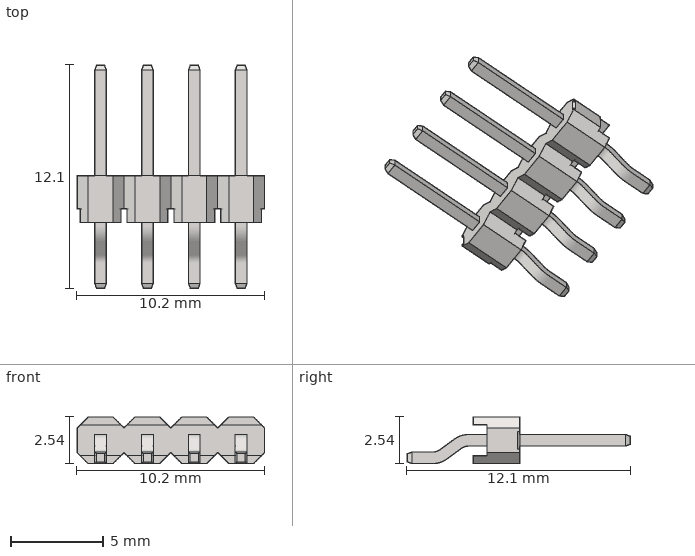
import cadquery as cq
import math


PIN_COUNT = 4
PITCH = 2.54
HOUSING_HEIGHT = PITCH
HOUSING_DEPTH = 2.54
CORE_DEPTH = 1.8
CELL_CHAMFER = 0.6
LIP_THICKNESS = 0.44
END_NOTCH_SIZE = 0.12
END_NOTCH_BACK_HEIGHT = 1.0
END_NOTCH_FRONT_HEIGHT = 0.92

PIN_SIZE = 0.64
BACK_REACH = 5.99
OVERALL_DEPTH = 12.1
TIP_LENGTH = 0.27
TIP_TAPER = 0.1
BEND_START = 2.79
BEND_ANGLE = math.radians(36)
BEND_INNER_RADIUS = PIN_SIZE

ROW_LENGTH = PIN_COUNT * PITCH
HALF_ROW = ROW_LENGTH / 2
HALF_PITCH = PITCH / 2
HALF_HEIGHT = HOUSING_HEIGHT / 2
HALF_PIN = PIN_SIZE / 2
FRONT_REACH = OVERALL_DEPTH - BACK_REACH
CELL_CENTERS = [(i + 0.5) * PITCH - HALF_ROW for i in range(PIN_COUNT)]


def make_cell(center_x):
    """One octagonal housing cell, extruded along -Y from the back face."""
    flat_x = HALF_PITCH - CELL_CHAMFER
    flat_z = HALF_HEIGHT - CELL_CHAMFER
    return (
        cq.Workplane("XZ", origin=(center_x, 0, 0))
        .moveTo(HALF_PITCH, flat_z)
        .lineTo(flat_x, HALF_HEIGHT)
        .lineTo(-flat_x, HALF_HEIGHT)
        .lineTo(-HALF_PITCH, flat_z)
        .lineTo(-HALF_PITCH, -flat_z)
        .lineTo(-flat_x, -HALF_HEIGHT)
        .lineTo(flat_x, -HALF_HEIGHT)
        .lineTo(HALF_PITCH, -flat_z)
        .close()
        .extrude(HOUSING_DEPTH)
    )


def make_front_recess():
    """Slot along the whole row that leaves a lip above and below the tails."""
    slot_depth = HOUSING_DEPTH - CORE_DEPTH
    slot_height = HOUSING_HEIGHT - 2 * LIP_THICKNESS
    slot_center_y = -(HOUSING_DEPTH + CORE_DEPTH) / 2
    return cq.Workplane("XY").box(ROW_LENGTH, slot_depth, slot_height).translate((0, slot_center_y, 0))


def make_end_notch(side):
    """45 degree wedge cut from a back vertical corner, narrowing forward; side is -1 or +1."""
    corner_x = side * HALF_ROW
    wedge = (
        cq.Workplane("XY")
        .moveTo(corner_x, 0)
        .lineTo(corner_x - side * END_NOTCH_SIZE, 0)
        .lineTo(corner_x, -END_NOTCH_SIZE)
        .close()
        .extrude(END_NOTCH_BACK_HEIGHT / 2, both=True)
    )
    sloped_ends = (
        cq.Workplane("YZ", origin=(corner_x, 0, 0))
        .moveTo(0, END_NOTCH_BACK_HEIGHT / 2)
        .lineTo(-END_NOTCH_SIZE, END_NOTCH_FRONT_HEIGHT / 2)
        .lineTo(-END_NOTCH_SIZE, -END_NOTCH_FRONT_HEIGHT / 2)
        .lineTo(0, -END_NOTCH_BACK_HEIGHT / 2)
        .close()
        .extrude(END_NOTCH_SIZE, both=True)
    )
    return wedge.intersect(sloped_ends)


def make_housing():
    housing = make_cell(CELL_CENTERS[0])
    for center_x in CELL_CENTERS[1:]:
        housing = housing.union(make_cell(center_x))
    housing = housing.cut(make_front_recess())
    for side in (-1, 1):
        housing = housing.cut(make_end_notch(side))
    return housing


def make_tip(center_x, base_y, center_z, direction):
    """Tapered square pin tip pointing along Y; direction is -1 or +1."""
    base_plane = cq.Plane(
        origin=(center_x, base_y, center_z), xDir=(1, 0, 0), normal=(0, direction, 0)
    )
    end_size = PIN_SIZE - 2 * TIP_TAPER
    return (
        cq.Workplane(base_plane)
        .rect(PIN_SIZE, PIN_SIZE)
        .workplane(offset=TIP_LENGTH)
        .rect(end_size, end_size)
        .loft(ruled=True)
    )


def make_pin_path(tail_z):
    """Center line of the pin shank: straight, down bend, slope, up bend, straight."""
    radius = BEND_INNER_RADIUS + HALF_PIN
    bend_run = radius * math.sin(BEND_ANGLE)
    bend_drop = radius * (1 - math.cos(BEND_ANGLE))
    half_run = radius * math.sin(BEND_ANGLE / 2)
    half_drop = radius * (1 - math.cos(BEND_ANGLE / 2))
    slope_run = (-tail_z - 2 * bend_drop) / math.tan(BEND_ANGLE)
    slope_start = -BEND_START - bend_run
    slope_end = slope_start - slope_run
    bend_end = slope_end - bend_run
    return (
        cq.Workplane("YZ")
        .moveTo(BACK_REACH - TIP_LENGTH, 0)
        .lineTo(-BEND_START, 0)
        .threePointArc((-BEND_START - half_run, -half_drop), (slope_start, -bend_drop))
        .lineTo(slope_end, tail_z + bend_drop)
        .threePointArc((bend_end + half_run, tail_z + half_drop), (bend_end, tail_z))
        .lineTo(-FRONT_REACH + TIP_LENGTH, tail_z)
    )


def make_pin(center_x):
    """Square pin whose tail drops until it is flush with the housing's underside."""
    tail_z = HALF_PIN - HALF_HEIGHT
    shank = (
        cq.Workplane("XZ", origin=(0, BACK_REACH - TIP_LENGTH, 0))
        .rect(PIN_SIZE, PIN_SIZE)
        .sweep(make_pin_path(tail_z))
        .translate((center_x, 0, 0))
    )
    back_tip = make_tip(center_x, BACK_REACH - TIP_LENGTH, 0, 1)
    front_tip = make_tip(center_x, -FRONT_REACH + TIP_LENGTH, tail_z, -1)
    return shank.union(back_tip).union(front_tip)


result = make_housing()
for pin_x in CELL_CENTERS:
    result = result.union(make_pin(pin_x))